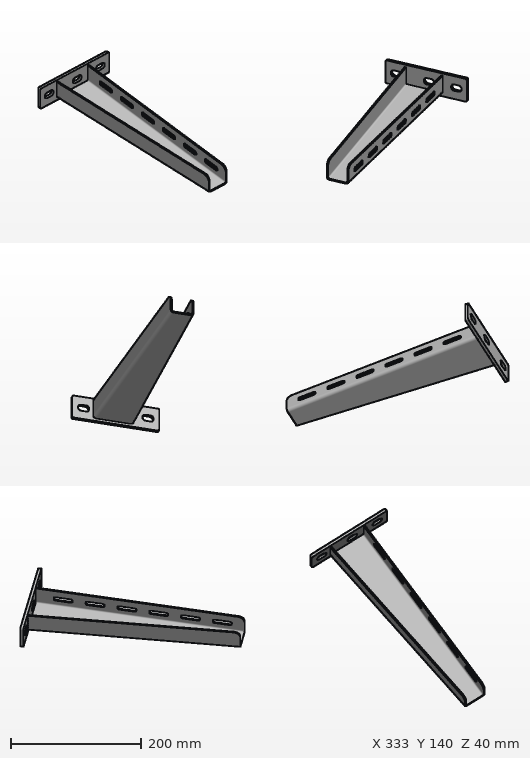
import cadquery as cq
import math

TOTAL_LENGTH = 333.0

PLATE_THICKNESS = 5.0
PLATE_WIDTH = 140.0
PLATE_HEIGHT = 40.0
PLATE_CORNER_RADIUS = 3.0
PLATE_SLOT_LENGTH = 18.0
PLATE_SLOT_HEIGHT = 11.0
OUTER_SLOT_OFFSET = 51.5
MIDDLE_SLOT_OFFSET = 5.0

SHEET = 2.5
INNER_BEND_RADIUS = 2.5
ARM_HEIGHT = 32.0
ARM_BOTTOM = -15.5
BACK_FACE_Y = 28.5
ROOT_WIDTH = 65.3
TIP_WIDTH = 37.3
FLANGE_CORNER_RADIUS = 10.0

FLANGE_SLOT_COUNT = 6
FLANGE_SLOT_PITCH = 50.0
FLANGE_SLOT_LENGTH = 30.0
FLANGE_SLOT_HEIGHT = 7.0
FLANGE_SLOT_Z = 0.0
LAST_SLOT_TO_TIP = 35.0

OUTER_BEND_RADIUS = SHEET + INNER_BEND_RADIUS
TAPER = math.atan((ROOT_WIDTH - TIP_WIDTH) / (TOTAL_LENGTH - PLATE_THICKNESS))
TIP_OVERHANG = OUTER_BEND_RADIUS * math.sin(TAPER)
WEB_END_X = TOTAL_LENGTH - TIP_OVERHANG
WEB_LENGTH = WEB_END_X - PLATE_THICKNESS
SLOPE_LENGTH = WEB_LENGTH / math.cos(TAPER)
BACK_BEND_Y = BACK_FACE_Y - OUTER_BEND_RADIUS
FRONT_BEND_ROOT_Y = BACK_FACE_Y - ROOT_WIDTH + OUTER_BEND_RADIUS / math.cos(TAPER)
FRONT_BEND_TIP_Y = FRONT_BEND_ROOT_Y + WEB_LENGTH * math.tan(TAPER)


def make_plate():
    """Wall plate with rounded corners and three horizontal slots."""
    plate = (
        cq.Workplane("YZ")
        .rect(PLATE_WIDTH, PLATE_HEIGHT)
        .extrude(PLATE_THICKNESS)
        .edges("|X")
        .fillet(PLATE_CORNER_RADIUS)
    )
    slot_centres = [(y, 0) for y in (-OUTER_SLOT_OFFSET, MIDDLE_SLOT_OFFSET, OUTER_SLOT_OFFSET)]
    slots = (
        cq.Workplane("YZ")
        .pushPoints(slot_centres)
        .slot2D(PLATE_SLOT_LENGTH, PLATE_SLOT_HEIGHT)
        .extrude(PLATE_THICKNESS)
    )
    return plate.cut(slots)


def make_web():
    """Flat floor of the arm, between the two bend lines."""
    return (
        cq.Workplane("XY", origin=(0, 0, ARM_BOTTOM))
        .moveTo(PLATE_THICKNESS, FRONT_BEND_ROOT_Y)
        .lineTo(WEB_END_X, FRONT_BEND_TIP_Y)
        .lineTo(WEB_END_X, BACK_BEND_Y)
        .lineTo(PLATE_THICKNESS, BACK_BEND_Y)
        .close()
        .extrude(SHEET)
    )


def make_flange(length, outward):
    """Bend and upright flange along +X from the origin; outward is the sign of its Y side."""
    reach = outward * OUTER_BEND_RADIUS
    inner_reach = outward * INNER_BEND_RADIUS
    diagonal = math.sqrt(0.5)
    outer_middle = (reach * diagonal, OUTER_BEND_RADIUS * (1 - diagonal))
    inner_middle = (inner_reach * diagonal, OUTER_BEND_RADIUS - INNER_BEND_RADIUS * diagonal)
    flange = (
        cq.Workplane("YZ")
        .threePointArc(outer_middle, (reach, OUTER_BEND_RADIUS))
        .lineTo(reach, ARM_HEIGHT)
        .lineTo(inner_reach, ARM_HEIGHT)
        .lineTo(inner_reach, OUTER_BEND_RADIUS)
        .threePointArc(inner_middle, (0, SHEET))
        .close()
        .extrude(length)
    )
    return flange.faces(">X").edges(">Z").edges("|Y").fillet(FLANGE_CORNER_RADIUS)


def make_flange_slots():
    """Cutters for the row of slots through the straight flange."""
    last_x = WEB_END_X - LAST_SLOT_TO_TIP
    centres = [(last_x - i * FLANGE_SLOT_PITCH, FLANGE_SLOT_Z) for i in range(FLANGE_SLOT_COUNT)]
    return (
        cq.Workplane("XZ", origin=(0, BACK_FACE_Y, 0))
        .pushPoints(centres)
        .slot2D(FLANGE_SLOT_LENGTH, FLANGE_SLOT_HEIGHT)
        .extrude(SHEET)
    )


def make_arm():
    """Tapered channel: web, straight slotted flange and sloping plain flange."""
    straight_flange = make_flange(WEB_LENGTH, 1).translate((PLATE_THICKNESS, BACK_BEND_Y, ARM_BOTTOM))
    sloping_flange = (
        make_flange(SLOPE_LENGTH, -1)
        .rotate((0, 0, 0), (0, 0, 1), math.degrees(TAPER))
        .translate((PLATE_THICKNESS, FRONT_BEND_ROOT_Y, ARM_BOTTOM))
    )
    arm = make_web().union(straight_flange).union(sloping_flange)
    return arm.cut(make_flange_slots())


plate = make_plate()
arm = make_arm()

result = cq.Compound.makeCompound([plate.solids().val(), arm.solids().val()])